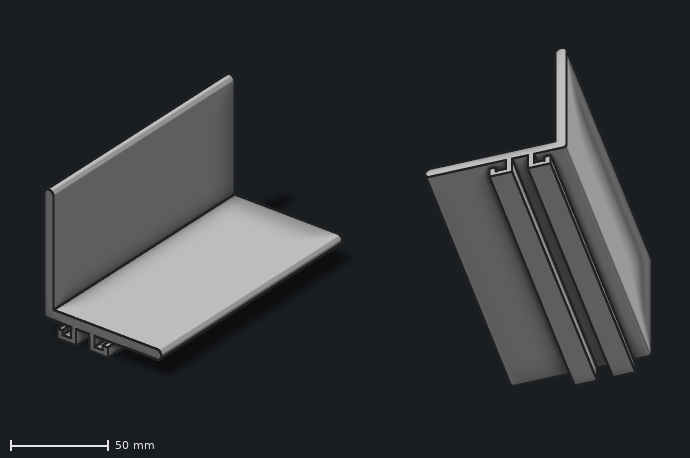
import cadquery as cq

length = 152.4
leg_span = 76.2
leg_thickness = 6.2
heel_radius = 2.0

hook_start = 8.7
hook_width = 12.2
hook_depth = 9.9
hook_gap = 8.4
hook_wall = 3.4
lip_height = 6.1

tip_radius = leg_thickness / 2
tip_center = leg_span - tip_radius
mirror_x = hook_start + hook_width + hook_gap / 2


def extrude_profile(sketch):
    """Extrude an XZ outline along Y, centred on the origin."""
    return sketch.close().extrude(length / 2, both=True)


def make_angle():
    """L-section with round leg tips and a rounded outer heel."""
    outline = (
        cq.Workplane("XZ")
        .lineTo(tip_center, 0)
        .threePointArc((leg_span, tip_radius), (tip_center, leg_thickness))
        .lineTo(leg_thickness, leg_thickness)
        .lineTo(leg_thickness, tip_center)
        .threePointArc((tip_radius, leg_span), (0, tip_center))
    )
    heel = cq.selectors.NearestToPointSelector((0, 0, 0))
    return extrude_profile(outline).edges("|Y").edges(heel).fillet(heel_radius)


def make_hook():
    """Left hook: a stem down from the leg, a floor and an upturned lip."""
    stem_right = hook_start + hook_width
    stem_left = stem_right - hook_wall
    lip_right = hook_start + hook_wall
    bottom = -hook_depth
    floor_top = bottom + hook_wall
    lip_top = bottom + lip_height
    stem_top = leg_thickness / 2
    outline = cq.Workplane("XZ").polyline([
        (stem_right, stem_top),
        (stem_right, bottom),
        (hook_start, bottom),
        (hook_start, lip_top),
        (lip_right, lip_top),
        (lip_right, floor_top),
        (stem_left, floor_top),
        (stem_left, stem_top),
    ])
    return extrude_profile(outline)


left_hook = make_hook()
right_hook = left_hook.mirror("YZ", (mirror_x, 0, 0))

result = make_angle().union(left_hook).union(right_hook)